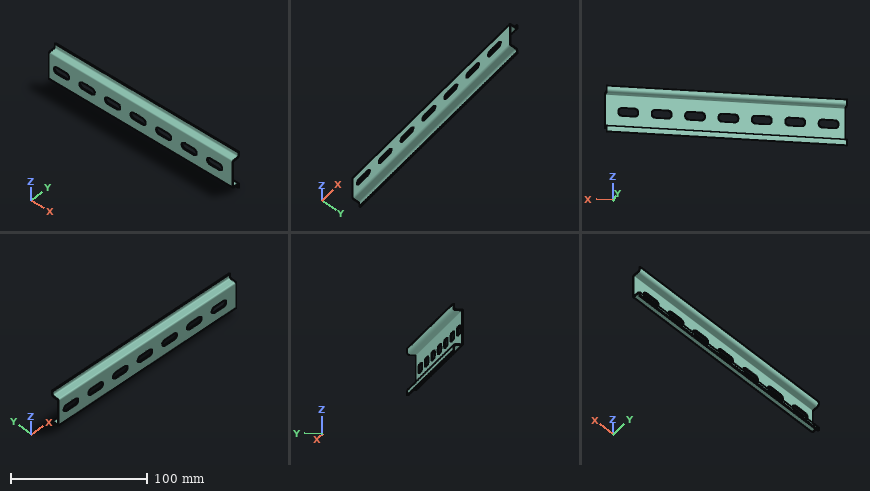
import cadquery as cq

length = 180.0
depth = 7.5
height = 35.0

thickness = 1.0
channel_height = 27.0
web_inner_radius = 0.4
lip_inner_radius = 1.3

slot_count = 7
slot_pitch = length / 7.2
slot_length = 15.0
slot_width = 6.1
first_slot_x = slot_pitch / 2


def bend(section, inner_radius, inner_corner, outer_corner):
    """Round both sides of a sheet bend running along X with one common centre."""
    for (y, z), radius in ((inner_corner, inner_radius), (outer_corner, inner_radius + thickness)):
        edge = cq.selectors.NearestToPointSelector((length / 2, y, z))
        section = section.edges("|X").edges(edge).fillet(radius)
    return section


def make_rail():
    """Hat section with its web at the front and two lips at the back."""
    outer = channel_height / 2
    inner = outer - thickness
    lip_front = depth - thickness
    lip_end = height / 2
    upper_half = [(0, outer), (lip_front, outer), (lip_front, lip_end),
                  (depth, lip_end), (depth, inner), (thickness, inner)]
    lower_half = [(y, -z) for y, z in reversed(upper_half)]
    rail = cq.Workplane("YZ").polyline(upper_half + lower_half).close().extrude(length)
    for side in (1, -1):
        rail = bend(rail, web_inner_radius, (thickness, side * inner), (0, side * outer))
        rail = bend(rail, lip_inner_radius, (lip_front, side * outer), (depth, side * inner))
    return rail


def make_slots():
    """Row of round-ended slots along the middle of the web."""
    centres = [(first_slot_x + i * slot_pitch, 0) for i in range(slot_count)]
    return (
        cq.Workplane("XZ")
        .pushPoints(centres)
        .slot2D(slot_length, slot_width)
        .extrude(-thickness)
    )


result = make_rail().cut(make_slots())